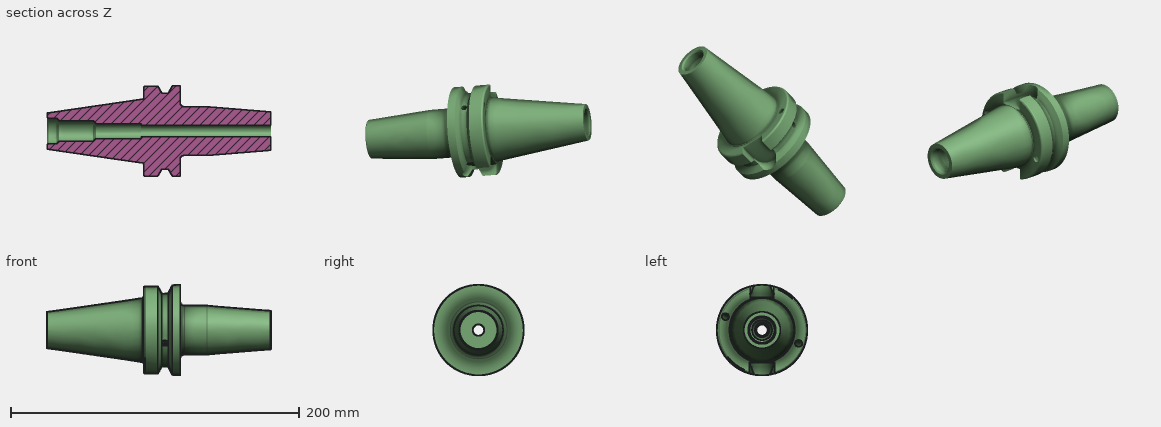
import cadquery as cq
import math

total_length = 155.4
gauge_x = 65.5
pilot_end_x = 66.5
flange_start_x = 67.0
flange_end_x = 92.5
groove_center_x = 81.9
neck_taper_x = 110.8

taper_large_radius = 22.2
taper_ratio = 7 / 24
taper_small_radius = taper_large_radius - gauge_x * taper_ratio / 2
collar_radius = 22.7
flange_diameter = 63.0
flange_radius = flange_diameter / 2
flange_edge_round = 1.2
groove_bottom_radius = 26.5
groove_bottom_width = 4.4
groove_flank_angle = 30

neck_radius = 17.1
neck_fillet = 2.6
nose_radius = 13.5
nose_chamfer = 0.5

upper_slot_width = 16.5
lower_slot_width = 17.4
slot_end_width = 16.0
slot_end_x = 88.9
slot_floor = 22.7
floor_edge_length = 1.0
floor_edge_drop = 0.5

coolant_diameter = 4.7
coolant_center_radius = 27.0
coolant_angle = 20
coolant_slope = 20
radial_hole_diameter = 4.2

mouth_radius = 9.6
pilot_bore_radius = 8.7
thread_radius = 7.0
middle_bore_radius = 5.0
through_radius = 3.9
pilot_bore_depth = 6.7
thread_depth = 32.0
middle_bore_depth = 65.3


def revolve_about_x(outline):
    return outline.close().revolve(360, (0, 0, 0), (1, 0, 0))


def make_body():
    half_bottom = groove_bottom_width / 2
    groove_depth = flange_radius - groove_bottom_radius
    half_top = half_bottom + groove_depth * math.tan(math.radians(groove_flank_angle))
    bend = math.sqrt(0.5)
    round_x = flange_start_x + flange_edge_round
    round_radius = flange_radius - flange_edge_round
    fillet_x = flange_end_x + neck_fillet
    fillet_radius = neck_radius + neck_fillet
    outline = (
        cq.Workplane("XY")
        .moveTo(0, 0)
        .lineTo(0, taper_small_radius)
        .lineTo(gauge_x, taper_large_radius)
        .lineTo(pilot_end_x, taper_large_radius)
        .lineTo(pilot_end_x, collar_radius)
        .lineTo(flange_start_x, collar_radius)
        .lineTo(flange_start_x, round_radius)
        .threePointArc(
            (round_x - flange_edge_round * bend, round_radius + flange_edge_round * bend),
            (round_x, flange_radius),
        )
        .lineTo(groove_center_x - half_top, flange_radius)
        .lineTo(groove_center_x - half_bottom, groove_bottom_radius)
        .lineTo(groove_center_x + half_bottom, groove_bottom_radius)
        .lineTo(groove_center_x + half_top, flange_radius)
        .lineTo(flange_end_x, flange_radius)
        .lineTo(flange_end_x, fillet_radius)
        .threePointArc(
            (fillet_x - neck_fillet * bend, fillet_radius - neck_fillet * bend),
            (fillet_x, neck_radius),
        )
        .lineTo(neck_taper_x, neck_radius)
        .lineTo(total_length - nose_chamfer, nose_radius)
        .lineTo(total_length, nose_radius - nose_chamfer)
        .lineTo(total_length, 0)
    )
    return revolve_about_x(outline)


def make_bore():
    mouth_end = mouth_radius - pilot_bore_radius
    pilot_end = pilot_bore_depth + pilot_bore_radius - thread_radius
    cone_end = thread_depth + thread_radius - middle_bore_radius
    outline = (
        cq.Workplane("XY")
        .moveTo(0, 0)
        .lineTo(0, mouth_radius)
        .lineTo(mouth_end, pilot_bore_radius)
        .lineTo(pilot_bore_depth, pilot_bore_radius)
        .lineTo(pilot_end, thread_radius)
        .lineTo(thread_depth, thread_radius)
        .lineTo(cone_end, middle_bore_radius)
        .lineTo(middle_bore_depth, middle_bore_radius)
        .lineTo(middle_bore_depth, through_radius)
        .lineTo(total_length, through_radius)
        .lineTo(total_length, 0)
    )
    return revolve_about_x(outline)


def make_drive_slot(wall_width):
    """Slot on the +Z side: wider front part, round end, bevelled front edge of the floor."""
    half_width = slot_end_width / 2
    arc_x = slot_end_x - half_width
    wall_length = groove_center_x - groove_bottom_width / 2 - pilot_end_x
    round_end = (
        cq.Workplane("XY", origin=(0, 0, slot_floor))
        .moveTo(pilot_end_x, -half_width)
        .lineTo(arc_x, -half_width)
        .threePointArc((slot_end_x, 0), (arc_x, half_width))
        .lineTo(pilot_end_x, half_width)
        .close()
        .extrude(flange_radius - slot_floor)
    )
    front_part = (
        cq.Workplane("XY", origin=(pilot_end_x, 0, slot_floor))
        .box(wall_length, wall_width, flange_radius - slot_floor, centered=(False, True, False))
    )
    bevel = (
        cq.Workplane("XZ", origin=(0, wall_width / 2, 0))
        .moveTo(flange_start_x, slot_floor)
        .lineTo(flange_start_x + floor_edge_length, slot_floor)
        .lineTo(flange_start_x, slot_floor - floor_edge_drop)
        .close()
        .extrude(wall_width)
    )
    return round_end.union(front_part).union(bevel)


def make_coolant_hole():
    """Hole from the flange face, sloping inwards, met by a radial hole in the groove."""
    run = groove_center_x - flange_start_x
    meeting_radius = coolant_center_radius - run * math.tan(math.radians(coolant_slope))
    sloping = (
        cq.Workplane("YZ")
        .circle(coolant_diameter / 2)
        .extrude(run / math.cos(math.radians(coolant_slope)) + coolant_diameter)
        .translate((-coolant_diameter, 0, 0))
        .rotate((0, 0, 0), (0, 0, 1), -coolant_slope)
        .translate((flange_start_x, coolant_center_radius, 0))
    )
    radial = (
        cq.Workplane("XZ", origin=(groove_center_x, meeting_radius, 0))
        .circle(radial_hole_diameter / 2)
        .extrude(meeting_radius - flange_radius)
    )
    return sloping.union(radial).rotate((0, 0, 0), (1, 0, 0), coolant_angle)


result = make_body().cut(make_bore())
for turn, wall_width in ((0, upper_slot_width), (180, lower_slot_width)):
    result = result.cut(make_drive_slot(wall_width).rotate((0, 0, 0), (1, 0, 0), turn))
    result = result.cut(make_coolant_hole().rotate((0, 0, 0), (1, 0, 0), turn))